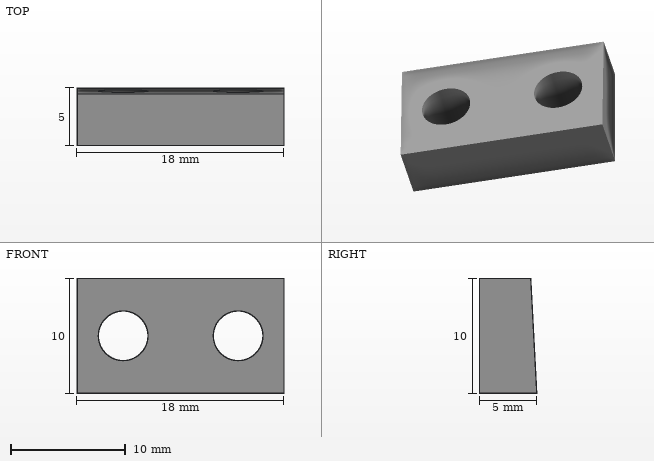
import cadquery as cq
import math

length = 18.0
base_depth = 5.0
height = 10.0
back_taper_angle = 3.0

hole_diameter = 4.3
hole_spacing = 10.0
first_hole_x = 4.0

top_depth = base_depth - height * math.tan(math.radians(back_taper_angle))
hole_z = height / 2


def make_wedge_block():
    """Block with a vertical front face at Y = 0 and a back face that leans forward."""
    profile = [(0, 0), (base_depth, 0), (top_depth, height), (0, height)]
    return cq.Workplane("YZ").polyline(profile).close().extrude(length)


def make_hole(x):
    """Cylinder along Y that passes through the full depth of the block."""
    return (
        cq.Workplane("XZ")
        .center(x, hole_z)
        .circle(hole_diameter / 2)
        .extrude(-base_depth)
    )


result = make_wedge_block()
for hole_x in (first_hole_x, first_hole_x + hole_spacing):
    result = result.cut(make_hole(hole_x))